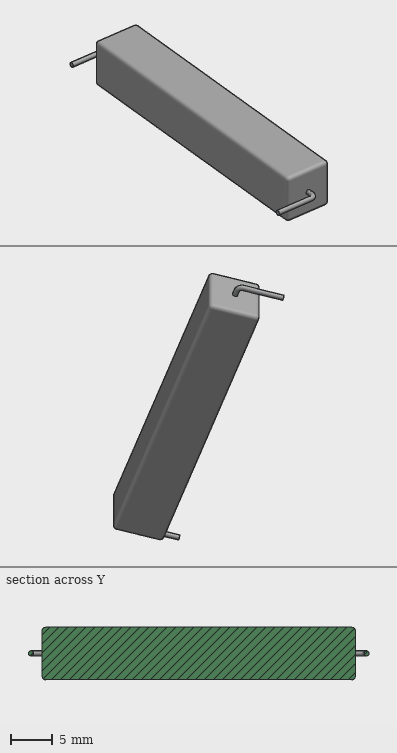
import cadquery as cq

body_length = 38.0
body_side = 6.4
edge_radius = 0.5

lead_pitch = 40.64
lead_diameter = 0.65
bend_radius = 0.65
lead_overhang = 2.5
lead_embed = 0.5

lead_tip_y = -(body_side / 2 + lead_overhang)


def make_body():
    """Square bar with every edge rounded."""
    return cq.Workplane("XY").box(body_length, body_side, body_side).edges().fillet(edge_radius)


def make_lead(side):
    """Bent wire at one end of the body; side is +1 for +X and -1 for -X."""
    start_x = side * (body_length / 2 - lead_embed)
    tip_x = side * lead_pitch / 2
    bend_x = tip_x - side * bend_radius
    wire_section = cq.Workplane("YZ", origin=(start_x, 0, 0)).circle(lead_diameter / 2)
    wire_axis = (
        cq.Workplane("XY")
        .moveTo(start_x, 0)
        .lineTo(bend_x, 0)
        .tangentArcPoint((tip_x, -bend_radius), relative=False)
        .lineTo(tip_x, lead_tip_y)
    )
    return wire_section.sweep(wire_axis)


result = make_body()
for end_side in (-1, 1):
    result = result.union(make_lead(end_side))